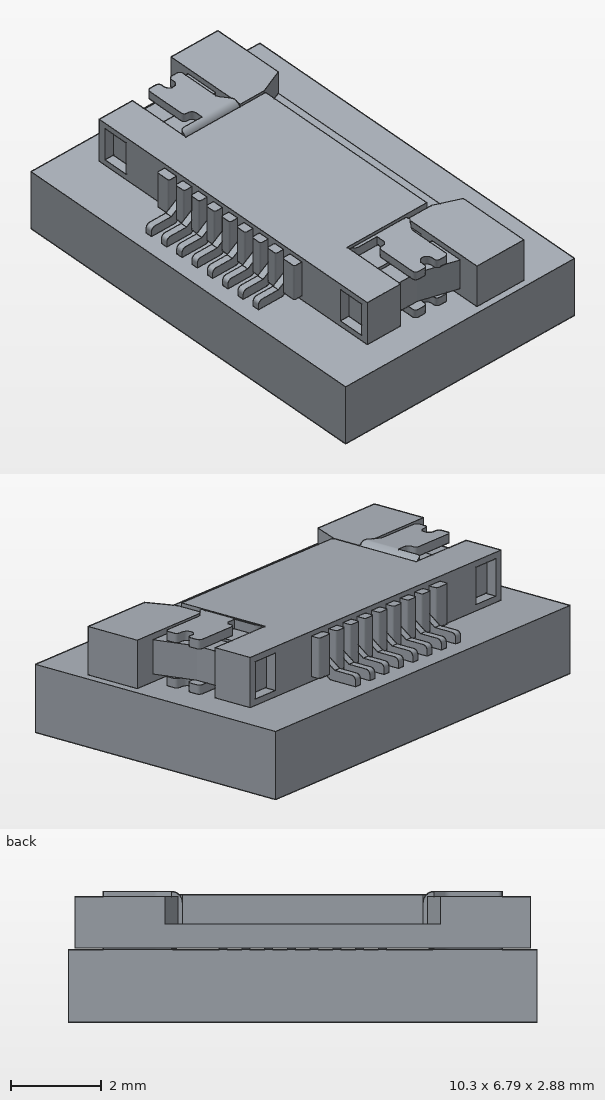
import cadquery as cq


BOARD_X = 10.31
BOARD_Y = 6.79
BOARD_THICKNESS = 1.6

STANDOFF = 0.03
HOUSING_TOP = 1.21
SLIDER_TOP = 1.17
FITTING_TOP = 1.28
SLIDER_FLOOR_TOP = 0.57
ARM_BOTTOM = 0.22
ARM_TOP = 1.02
CLEARANCE = 0.036

BAR_HALF_X = 4.39
BAR_FRONT_Y = -2.06
BAR_REAR_Y = -1.07
CORE_HALF_X = 2.64
CORE_REAR_Y = 0.57
TONGUE_REAR_Y = 1.29
FINGER_INNER_X = 2.89
FINGER_CHAMFER = 0.26

CONTACT_COUNT = 8
CONTACT_SPAN = 3.51
CONTACT_PITCH = CONTACT_SPAN / (CONTACT_COUNT - 1)
RIB_WIDTH = 0.29
RIB_DEPTH = 0.23
RIB_BOTTOM = 0.14
RIB_TOP = 1.09
RIB_EDGE_RADIUS = 0.05
COMB_HALF_X = 2.25
CONTACT_WIDTH = 0.18
CONTACT_THICKNESS = 0.25
CONTACT_TIP_Y = -2.98
CONTACT_TIP_RADIUS = 0.11
CONTACT_TOP_BEND_Y = -2.39
CONTACT_TOP_EXIT = 0.47
CONTACT_FOOT_Y = -2.27
CONTACT_OVERLAP = 0.1

SLIDER_HALF_X = 5.01
SLIDER_FRONT_Y = 0.63
SLIDER_REAR_Y = 2.02
RECESS_HALF_X = 2.74
RECESS_FLARE_Y = 1.34
RECESS_MOUTH_HALF_X = 3.03
ARM_INNER_X = 3.55
ARM_OUTER_X = 4.17
ARM_ROOT_OUTER_X = 4.46
ARM_TAPER_END_Y = -0.38
ARM_FRONT_Y = -1.85

SHEET_THICKNESS = 0.22
WEB_OUTER_X = 2.65
BEND_RADIUS = 0.24
WEB_FRONT_Y = -1.05
WEB_REAR_Y = 0.57
FLAP_OUTER_X = 4.39
FLAP_FRONT_Y = -0.64
FLAP_REAR_Y = 0.34
FLAP_FRONT_NOTCH_Y = -0.39
FLAP_INNER_X = 3.19
FLAP_CORNER_RADIUS = 0.09
WEB_CORNER_RADIUS = 0.12
FRONT_NOTCH_RADIUS = 0.12
REAR_SWEEP_RADIUS = 0.21
EYE_Y = -0.14
EYE_X = 4.23
EYE_RADIUS = 0.14


def box(x, y, z):
    """A box from its (low, high) limits along each axis."""
    return cq.Workplane("XY").box(
        x[1] - x[0], y[1] - y[0], z[1] - z[0], centered=False
    ).translate((x[0], y[0], z[0]))


def prism(points, z):
    """An outline in plan, extruded between the two heights in z."""
    return cq.Workplane("XY", origin=(0, 0, z[0])).polyline(points).close().extrude(z[1] - z[0])


def make_board():
    return cq.Workplane("XY").box(
        BOARD_X, BOARD_Y, BOARD_THICKNESS, centered=(True, True, False)
    ).translate((0, 0, -BOARD_THICKNESS))


def make_finger():
    """Side finger clasped by a fitting, with its outer rear corner cut off."""
    outer_x = ARM_INNER_X - CLEARANCE
    points = [
        (FINGER_INNER_X, BAR_REAR_Y),
        (outer_x, BAR_REAR_Y),
        (outer_x, CORE_REAR_Y - FINGER_CHAMFER),
        (outer_x - FINGER_CHAMFER, CORE_REAR_Y),
        (FINGER_INNER_X, CORE_REAR_Y),
    ]
    return prism(points, (SHEET_THICKNESS, FITTING_TOP - SHEET_THICKNESS))


def make_arm_hole():
    """Opening through the front bar for a slider arm."""
    return box(
        (ARM_INNER_X - CLEARANCE, ARM_OUTER_X + CLEARANCE),
        (BAR_FRONT_Y, BAR_REAR_Y),
        (ARM_BOTTOM - CLEARANCE, ARM_TOP + CLEARANCE),
    )


def make_rib(left, right):
    rib = box((left, right), (BAR_FRONT_Y - RIB_DEPTH, BAR_FRONT_Y), (RIB_BOTTOM, RIB_TOP))
    return rib.edges("|Z and <Y").fillet(RIB_EDGE_RADIUS)


def make_contact(x):
    """Contact tail: it ramps down out of the bar and lies flat on the board."""
    inside_y = BAR_FRONT_Y + CONTACT_OVERLAP
    slope = (CONTACT_TOP_EXIT - CONTACT_THICKNESS) / (BAR_FRONT_Y - CONTACT_TOP_BEND_Y)
    profile = (
        cq.Workplane("YZ", origin=(x - CONTACT_WIDTH / 2, 0, 0))
        .moveTo(CONTACT_TIP_Y, 0)
        .lineTo(CONTACT_TIP_Y, CONTACT_THICKNESS - CONTACT_TIP_RADIUS)
        .radiusArc((CONTACT_TIP_Y + CONTACT_TIP_RADIUS, CONTACT_THICKNESS), CONTACT_TIP_RADIUS)
        .lineTo(CONTACT_TOP_BEND_Y, CONTACT_THICKNESS)
        .lineTo(inside_y, CONTACT_THICKNESS + slope * (inside_y - CONTACT_TOP_BEND_Y))
        .lineTo(inside_y, slope * (inside_y - CONTACT_FOOT_Y))
        .lineTo(CONTACT_FOOT_Y, 0)
        .close()
    )
    return profile.extrude(CONTACT_WIDTH)


def make_housing():
    bar = box((-BAR_HALF_X, BAR_HALF_X), (BAR_FRONT_Y, BAR_REAR_Y), (STANDOFF, HOUSING_TOP))
    core = box((-CORE_HALF_X, CORE_HALF_X), (BAR_REAR_Y, CORE_REAR_Y), (STANDOFF, HOUSING_TOP))
    tongue = box(
        (-CORE_HALF_X, CORE_HALF_X), (CORE_REAR_Y, TONGUE_REAR_Y), (SLIDER_FLOOR_TOP, HOUSING_TOP)
    )
    housing = bar.union(core).union(tongue)
    arm_hole = make_arm_hole()
    housing = housing.cut(arm_hole).cut(arm_hole.mirror("YZ"))
    finger = make_finger()
    housing = housing.union(finger).union(finger.mirror("YZ"))

    contact_xs = [i * CONTACT_PITCH - CONTACT_SPAN / 2 for i in range(CONTACT_COUNT)]
    half_gap = (CONTACT_PITCH - RIB_WIDTH) / 2
    rib_lefts = [-COMB_HALF_X] + [x + half_gap for x in contact_xs]
    rib_rights = [x - half_gap for x in contact_xs] + [COMB_HALF_X]
    for left, right in zip(rib_lefts, rib_rights):
        housing = housing.union(make_rib(left, right))
    for x in contact_xs:
        housing = housing.union(make_contact(x))
    return housing


def make_slider_recess():
    """Sunken middle of the slider, flaring out towards the rear."""
    points = [
        (-RECESS_HALF_X, SLIDER_FRONT_Y),
        (RECESS_HALF_X, SLIDER_FRONT_Y),
        (RECESS_HALF_X, RECESS_FLARE_Y),
        (RECESS_MOUTH_HALF_X, SLIDER_REAR_Y),
        (-RECESS_MOUTH_HALF_X, SLIDER_REAR_Y),
        (-RECESS_HALF_X, RECESS_FLARE_Y),
    ]
    return prism(points, (SLIDER_FLOOR_TOP, SLIDER_TOP))


def make_arm():
    points = [
        (ARM_INNER_X, SLIDER_FRONT_Y),
        (ARM_INNER_X, ARM_FRONT_Y),
        (ARM_OUTER_X, ARM_FRONT_Y),
        (ARM_OUTER_X, ARM_TAPER_END_Y),
        (ARM_ROOT_OUTER_X, SLIDER_FRONT_Y),
    ]
    return prism(points, (ARM_BOTTOM, ARM_TOP))


def make_slider():
    bar = box(
        (-SLIDER_HALF_X, SLIDER_HALF_X), (SLIDER_FRONT_Y, SLIDER_REAR_Y), (STANDOFF, SLIDER_TOP)
    )
    arm = make_arm()
    return bar.cut(make_slider_recess()).union(arm).union(arm.mirror("YZ"))


def make_fitting_channel():
    """U-shaped sheet: two flaps joined by an upright web with rounded bends."""
    depth = (WEB_FRONT_Y, WEB_REAR_Y)
    inner_radius = BEND_RADIUS - SHEET_THICKNESS
    outside = box((WEB_OUTER_X, FLAP_OUTER_X), depth, (0, FITTING_TOP))
    outside = outside.edges("|Y and <X").fillet(BEND_RADIUS)
    inside = box(
        (WEB_OUTER_X + SHEET_THICKNESS, FLAP_OUTER_X),
        depth,
        (SHEET_THICKNESS, FITTING_TOP - SHEET_THICKNESS),
    )
    return outside.cut(inside.edges("|Y and <X").fillet(inner_radius))


def make_flap_outline():
    """Plan shape of both flaps, cut back at the front and at the rear."""
    bend_x = WEB_OUTER_X + BEND_RADIUS
    web_inner_x = WEB_OUTER_X + SHEET_THICKNESS
    points = [
        (WEB_OUTER_X, WEB_FRONT_Y),
        (web_inner_x, WEB_FRONT_Y),
        (web_inner_x, FLAP_FRONT_NOTCH_Y),
        (FLAP_INNER_X, FLAP_FRONT_NOTCH_Y),
        (FLAP_INNER_X, FLAP_FRONT_Y),
        (FLAP_OUTER_X, FLAP_FRONT_Y),
        (FLAP_OUTER_X, FLAP_REAR_Y),
        (FLAP_INNER_X, FLAP_REAR_Y),
        (bend_x, WEB_REAR_Y),
        (WEB_OUTER_X, WEB_REAR_Y),
    ]
    outline = prism(points, (0, FITTING_TOP))

    def upright_edge(x, y):
        return cq.selectors.NearestToPointSelector((x, y, FITTING_TOP / 2))

    rounded_corners = [
        (FLAP_INNER_X, FLAP_FRONT_NOTCH_Y, FRONT_NOTCH_RADIUS),
        (FLAP_INNER_X, FLAP_FRONT_Y, FLAP_CORNER_RADIUS),
        (FLAP_INNER_X, FLAP_REAR_Y, REAR_SWEEP_RADIUS),
        (web_inner_x, WEB_FRONT_Y, WEB_CORNER_RADIUS),
    ]
    for x, y, radius in rounded_corners:
        outline = outline.edges(upright_edge(x, y)).fillet(radius)
    return outline


def make_eye():
    """Round-ended notch in the outer edge of the flaps."""
    eye = cq.Workplane("XY").center(EYE_X, EYE_Y).circle(EYE_RADIUS).extrude(FITTING_TOP)
    mouth = box((EYE_X, FLAP_OUTER_X), (EYE_Y - EYE_RADIUS, EYE_Y + EYE_RADIUS), (0, FITTING_TOP))
    return eye.union(mouth)


def make_fitting():
    outline = make_flap_outline().cut(make_eye())
    outline = outline.edges("|Z and >X").fillet(FLAP_CORNER_RADIUS)
    return make_fitting_channel().intersect(outline)


board = make_board()
housing = make_housing()
slider = make_slider()
right_fitting = make_fitting()
left_fitting = right_fitting.mirror("YZ")

result = cq.Compound.makeCompound(
    [board.val(), housing.val(), slider.val(), right_fitting.val(), left_fitting.val()]
)